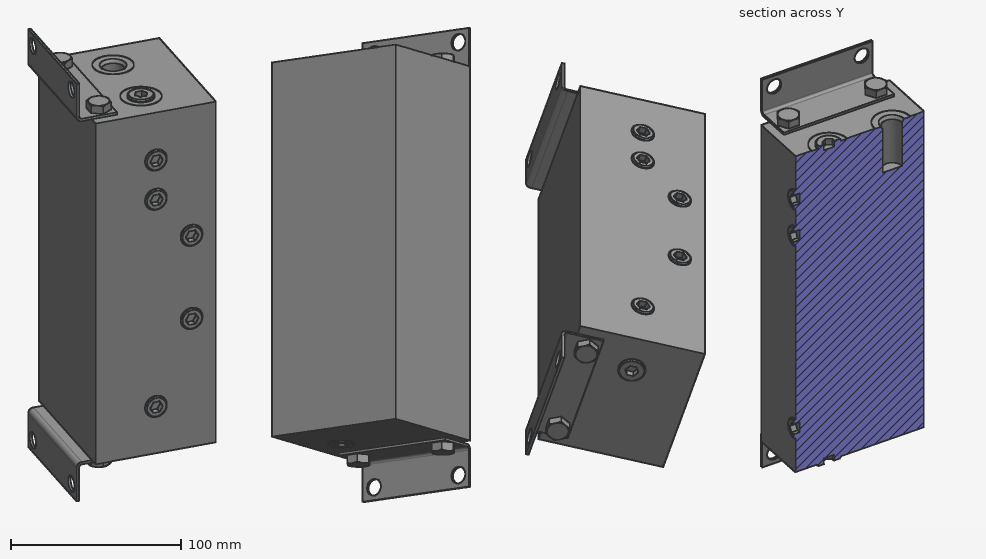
import cadquery as cq
import math

overall_length = 275
overall_depth = 85.8
overall_width = 90.2
block_width = 88.9
block_depth = 76.2
bracket_height = 25.3
block_length = overall_length - 2 * bracket_height
block_right = block_width / 2
block_front = -block_depth / 2
block_top = block_length / 2

sheet_thickness = 1.7
bend_inner_radius = 1.7
bend_outer_radius = bend_inner_radius + sheet_thickness
bracket_width = 76.2
bracket_leg = 25.5
bracket_center_x = 0.4
bracket_front = block_depth / 2 - overall_depth
fastener_spacing = 60.5
bracket_hole_diameter = 10.0
bracket_hole_edge = 7.7

bolt_flats = 12.7
bolt_crown_diameter = 12.7
bolt_head_height = 5.2
bolt_from_front = 7.7
bolt_chamfer_angle = math.radians(30)

tank_port_x = -22.5
pressure_port_x = 21.2
port_y = 0
spotface_diameter = 24.5
spotface_depth = 0.3
tank_bore_diameter = 13.2
tank_bore_depth = 33
tank_mouth_diameter = 16.0
tank_mouth_depth = 2.2

plug_height = overall_width - block_width
plug_chamfer = 0.8
end_plug_diameter = 16.2
side_plug_diameter = 13.8
socket_flats = 7.0
socket_depth = 4.0

rear_row_y = 22.5
side_plugs = [
    (port_y, 31.0),
    (port_y, 57.0),
    (rear_row_y, 85.0),
    (rear_row_y, 139.7),
    (port_y, 193.5),
]

fastener_xs = [-fastener_spacing / 2, fastener_spacing / 2]


def across_corners(flats):
    """Corner-to-corner size of a hexagon with the given width across flats."""
    return flats / math.cos(math.pi / 6)


def make_bracket():
    """Top bracket: one leg on the block end, the other standing clear of its front."""
    bend_y = bracket_front + bend_outer_radius
    bend_z = block_top + bend_outer_radius
    leg_end = bracket_front + bracket_leg
    flange_top = block_top + bracket_height
    bracket = (
        cq.Workplane("YZ", origin=(bracket_center_x, 0, 0))
        .moveTo(leg_end, block_top)
        .lineTo(bend_y, block_top)
        .tangentArcPoint((bracket_front, bend_z), relative=False)
        .lineTo(bracket_front, flange_top)
        .lineTo(bracket_front + sheet_thickness, flange_top)
        .lineTo(bracket_front + sheet_thickness, bend_z)
        .tangentArcPoint((bend_y, block_top + sheet_thickness), relative=False)
        .lineTo(leg_end, block_top + sheet_thickness)
        .close()
        .extrude(bracket_width / 2, both=True)
    )
    hole_z = flange_top - bracket_hole_edge
    holes = (
        cq.Workplane("XZ", origin=(0, bracket_front, 0))
        .pushPoints([(x, hole_z) for x in fastener_xs])
        .circle(bracket_hole_diameter / 2)
        .extrude(-sheet_thickness)
    )
    return bracket.cut(holes)


def make_bolt_head(x):
    """Hexagon head whose top corners are turned down to a circle."""
    base = cq.Vector(x, block_front + bolt_from_front, block_top + sheet_thickness)
    up = cq.Vector(0, 0, 1)
    top_radius = bolt_crown_diameter / 2
    base_radius = top_radius + bolt_head_height / math.tan(bolt_chamfer_angle)
    turning = cq.Solid.makeCone(base_radius, top_radius, bolt_head_height, base, up)
    hexagon = (
        cq.Workplane("XY", origin=base.toTuple())
        .polygon(6, across_corners(bolt_flats))
        .extrude(bolt_head_height)
    )
    return hexagon.intersect(cq.Workplane(turning))


def add_plug(body, seat, normal, diameter):
    """Add a chamfered plug standing out of the face at seat, with a blind hexagon socket."""
    root = cq.Plane(origin=seat, xDir=(0, 1, 0), normal=normal)
    plug = (
        cq.Workplane(root)
        .workplane(offset=-spotface_depth)
        .circle(diameter / 2)
        .extrude(spotface_depth + plug_height)
        .faces(cq.selectors.DirectionMinMaxSelector(cq.Vector(normal)))
        .chamfer(plug_chamfer)
    )
    socket = (
        cq.Workplane(root)
        .workplane(offset=plug_height)
        .polygon(6, across_corners(socket_flats))
        .extrude(-socket_depth)
    )
    return body.union(plug).cut(socket)


def cut_ports(body):
    """Cut the spotfaces of both top ports and the open tank bore with its conical mouth."""
    ports = [(tank_port_x, port_y), (pressure_port_x, port_y)]
    spotfaces = (
        cq.Workplane("XY", origin=(0, 0, block_top))
        .pushPoints(ports)
        .circle(spotface_diameter / 2)
        .extrude(-spotface_depth)
    )
    bore_radius = tank_bore_diameter / 2
    mouth_radius = tank_mouth_diameter / 2
    mouth = cq.Vector(tank_port_x, port_y, block_top - spotface_depth)
    down = cq.Vector(0, 0, -1)
    bore = cq.Solid.makeCylinder(bore_radius, tank_bore_depth, mouth, down)
    countersink = cq.Solid.makeCone(mouth_radius, bore_radius, tank_mouth_depth, mouth, down)
    return body.cut(spotfaces).cut(cq.Workplane(bore)).cut(cq.Workplane(countersink))


block = cq.Workplane("XY").box(block_width, block_depth, block_length)
block = cut_ports(block)

top_seat = (pressure_port_x, port_y, block_top)
bottom_seat = (pressure_port_x, port_y, -block_top)
block = add_plug(block, top_seat, (0, 0, 1), end_plug_diameter)
block = add_plug(block, bottom_seat, (0, 0, -1), end_plug_diameter)

for plug_y, below_top in side_plugs:
    side_seat = (block_right, plug_y, block_top - below_top)
    block = add_plug(block, side_seat, (1, 0, 0), side_plug_diameter)

mounting = make_bracket()
for fastener_x in fastener_xs:
    mounting = mounting.union(make_bolt_head(fastener_x))

result = block.union(mounting).union(mounting.mirror("XY"))